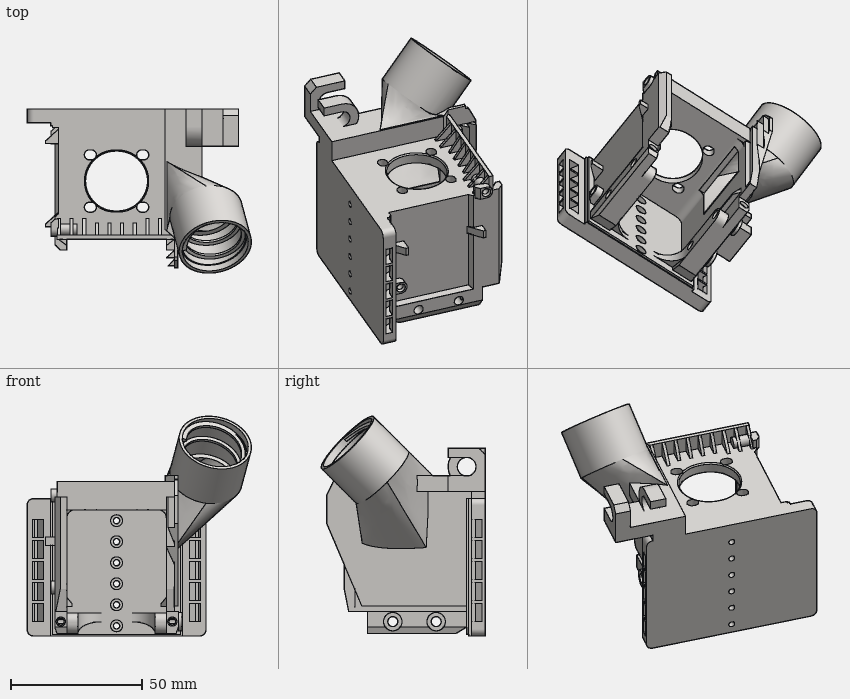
import cadquery as cq
import math


EAR_HALF_WIDTH = 34.05
DECK_TOP = 52.3
EAR_DEPTH = 5.25
EAR_CORNER_RADIUS = 2.5
PLATE_HALF_WIDTH = 25.1
PLATE_DEPTH = 6.4
LIP_INSET = 0.7
BACK_DEPTH = 7.1
SCREW_COUNT = 6
HOLE_PITCH = 8.0
FIRST_SCREW_Z = 3.9
SCREW_DIAMETER = 2.3
SCREW_HEAD_DIAMETER = 4.5
SCREW_HEAD_DEPTH = 2.0
TIE_SLOT_COUNT = 5
FIRST_TIE_SLOT_Z = 9.0
TIE_SLOT_HEIGHT = 6.85
TIE_SLOT_OUTLINE = [
    (EAR_HALF_WIDTH, 1.2), (30.1, 1.2), (27.8, EAR_DEPTH),
    (32.0, EAR_DEPTH), (31.2, 3.8), (EAR_HALF_WIDTH, 3.8),
]

WALL_INNER = 18.9
PANEL_OUTER = 22.0
WALL_OUTER = 23.5
WALL_BOTTOM = 9.3
WALL_FRONT = 53.7
WALL_FOOT_FRONT = 52.0
FOOT_TAPER_TOP = 17.9
LIP_TOP = 52.9
LIP_CHAMFER = 2.1
DOOR_GROOVE_OUTLINE = [(WALL_INNER, 49.0), (21.9, 49.6), (WALL_INNER, 52.0)]
DOOR_GROOVE_BOTTOM = 11.0
PANEL_FRONT = 39.7
PANEL_BOTTOM = 10.7
PANEL_BEVEL = WALL_OUTER - PANEL_OUTER
SKIRT_FRONT = 44.9
SKIRT_BOTTOM = 0.9
SKIRT_CHAMFER_TOP = 3.4
SKIRT_CHAMFER_WIDTH = 0.9
SKIRT_TOE_LENGTH = 1.0
REAR_SLOPE_END = 11.3
RAIL_INNER = 16.9
RAIL_OUTLINE = [(WALL_INNER, 11.3), (RAIL_INNER, 11.3), (RAIL_INNER, 12.3), (WALL_INNER, 14.7)]
RAIL_FRONT = 46.0
RAIL_TIP = 2.5

WALL_TOP = 61.0
TALL_WALL_INNER = 18.5
RIM_OUTER_FRONT = 49.0
RIM_INNER_FRONT = 45.8
FIN_OUTER = 23.3
FIN_BOTTOM = 11.5
FIN_OUTLINE = [
    (0, FIN_BOTTOM), (47.0, FIN_BOTTOM), (60.4, 42.9), (60.4, 53.5),
    (57.6, 59.3), (56.2, 59.8), (56.2, WALL_TOP), (0, WALL_TOP),
]
GILLS = [(WALL_INNER, 53.7, 56.6), (19.6, 57.1, 59.7)]

DECK_BOTTOM = 48.0
DECK_CORNER_RADIUS = 3.0
BAR_BACK = 48.0
BAR_FRONT = 49.6
BAR_TOP = 58.8
BAR_LEFT = -22.6
RIB_COUNT = 9
SHORT_RIB_REACH = 2
RIB_PITCH = 4.8
RIB_CENTRE_X = -0.27
RIB_WIDTH = 1.2
LONG_RIB_START = 41.6
SHORT_RIB_START = 43.4
FAN_DEPTH = 27.4
FAN_WIDTH = 23.5
FAN_HOLE_HEIGHT = 22.7
FAN_CHAMFER = 0.5
FAN_SCREW_OFFSET = 9.95
FAN_SCREW_WIDTH = 4.5
FAN_SCREW_HEIGHT = 3.7

PIVOT_DEPTHS = (18.7, 35.2)
PIVOT_Z = 5.5
PIVOT_DIAMETER = 3.7
PIVOT_BOSS_DIAMETER = 7.0
PIVOT_BOSS_OUTER = 24.8
END_HOLE_X = 21.2
END_HOLE_DEPTH = 8.0
ARM_INNER = 14.7
ARM_FRONT = 37.8
ARM_NOSE_RADIUS = 3.5
ARM_TOP = 8.8
ARM_BOTTOM = 0.9
ARM_ROOT_INNER = 6.0
ARM_ROOT_BOTTOM = 5.4
BOSS_OUTER = -25.0
BOSS_DIAMETER = 5.0
BOSS_HOLE_DIAMETER = 2.5
HOLE_MOUTH_DIAMETER = 3.5
HOLE_MOUTH_DEPTH = 1.0
UPPER_WEB_BACK = 41.9
WEB_BEVEL = 1.5
UPPER_BOSS_SITE = (45.9, 53.5)
LOWER_BOSS_SITE = (10.9, 18.5)
UPPER_PIN_END = -15.0
UPPER_PIN_DIAMETER = 4.5
WEDGE_TIP = -27.1
WEDGE_FRONTS = (13.2, 44.8)
WEDGE_Z = 36.1
WEDGE_HEIGHT = 3.2
WEDGE_LENGTH = 5.6
WEDGE_TIP_LENGTH = 1.0

HOOK_CENTRE_DEPTH = 7.1
HOOK_CENTRE_Z = 64.4
HOOK_RADIUS = 7.1
HOOK_HOLE_RADIUS = 3.5
REAR_HOOK_X = (26.4, 32.5)
FRONT_HOOK_X = (40.5, 46.4)
HOOK_BASE_BOTTOM = 55.0
HOOK_ARM_DEPTH = 26.0
HOOK_CHAMFER = 2.5

SOCKET_CENTRE = cq.Vector(37.56, -52.39, 73.59)
SOCKET_LEAN = math.tan(math.radians(15))
SOCKET_AXIS = cq.Vector(SOCKET_LEAN, -1, 1).normalized()
SOCKET_RADIUS = 14.0
SOCKET_LENGTH = 19.0
SOCKET_RIM_DIAMETER = 25.5
SOCKET_RIM_DEPTH = 3.0
SOCKET_GROOVE_DIAMETER = 24.6
SOCKET_UPWARD = cq.Vector(0, 1, 1).normalized()
SOCKET_OUTWARD = SOCKET_AXIS.cross(SOCKET_UPWARD) * -1
RIDGE_DIAMETER = 22.0
RIDGE_PITCH = 7.5
RIDGE_START = 1.0
RIDGE_LENGTH = 15.0
RIDGE_BASE_WIDTH = 1.8
RIDGE_CREST_WIDTH = 1.0
RIDGE_EMBED = 0.5
SHOULDER_DIAMETER = 20.7
DUCT_X = 19.2
DUCT_DEPTHS = (20.0, 46.0)
DUCT_HEIGHTS = (29.5, WALL_TOP)
DUCT_WALL = 1.5


def block(x_range, depth_range, z_range):
    """Box given by its X, depth and Z ranges."""
    x0, x1 = sorted(x_range)
    d0, d1 = depth_range
    z0, z1 = z_range
    return cq.Workplane().box(x1 - x0, d1 - d0, z1 - z0, centered=False).translate((x0, -d1, z0))


def side_prism(outline, x_range):
    """Prism along X with a (depth, Z) outline."""
    x0, x1 = sorted(x_range)
    points = [(-d, z) for d, z in outline]
    return cq.Workplane("YZ").workplane(offset=x0).polyline(points).close().extrude(x1 - x0)


def plan_prism(outline, z_range):
    """Prism along Z with an (X, depth) outline."""
    z0, z1 = z_range
    points = [(x, -d) for x, d in outline]
    return cq.Workplane("XY").workplane(offset=z0).polyline(points).close().extrude(z1 - z0)


def front_prism(outline, depth_range):
    """Prism along depth with an (X, Z) outline."""
    d0, d1 = depth_range
    return cq.Workplane("XZ").workplane(offset=d0).polyline(outline).close().extrude(d1 - d0)


def cross_pin(site, diameter, x_range):
    """Cylinder along X at a (depth, Z) site."""
    x0, x1 = sorted(x_range)
    depth, z = site
    return cq.Workplane("YZ").workplane(offset=x0).center(-depth, z).circle(diameter / 2).extrude(x1 - x0)


def mirrored(outline, side):
    """Outline with its first coordinate turned to the given side of X = 0."""
    return [(side * x, other) for x, other in outline]


def back_plate():
    ears = block((-EAR_HALF_WIDTH, EAR_HALF_WIDTH), (0, EAR_DEPTH), (0, DECK_TOP))
    ears = ears.edges("|Y").fillet(EAR_CORNER_RADIUS)
    plate = block((-PLATE_HALF_WIDTH, PLATE_HALF_WIDTH), (0, PLATE_DEPTH), (0, DECK_TOP))
    lip_half = PLATE_HALF_WIDTH - LIP_INSET
    lip = block((-lip_half, lip_half), (0, BACK_DEPTH), (LIP_INSET, DECK_TOP))
    body = ears.union(plate).union(lip)
    for side in (-1, 1):
        for i in range(TIE_SLOT_COUNT):
            z = FIRST_TIE_SLOT_Z + i * HOLE_PITCH
            z_range = (z - TIE_SLOT_HEIGHT / 2, z + TIE_SLOT_HEIGHT / 2)
            body = body.cut(plan_prism(mirrored(TIE_SLOT_OUTLINE, side), z_range))
    return body


def cut_screw_holes(body):
    for i in range(SCREW_COUNT):
        z = FIRST_SCREW_Z + i * HOLE_PITCH
        front = cq.Workplane("XZ").workplane(offset=BACK_DEPTH).center(0, z)
        body = body.cut(front.circle(SCREW_DIAMETER / 2).extrude(-BACK_DEPTH))
        body = body.cut(front.circle(SCREW_HEAD_DIAMETER / 2).extrude(-SCREW_HEAD_DEPTH))
    return body


def wall_lip(side, outer):
    """Wall with its front lip, tapered at the foot, and a V groove inside the lip."""
    outline = [
        (0, WALL_BOTTOM), (WALL_FOOT_FRONT, WALL_BOTTOM), (WALL_FRONT, FOOT_TAPER_TOP),
        (WALL_FRONT, LIP_TOP), (BAR_BACK, LIP_TOP), (BAR_BACK, DECK_TOP), (0, DECK_TOP),
    ]
    wall = side_prism(outline, (side * WALL_INNER, side * outer))
    groove = plan_prism(mirrored(DOOR_GROOVE_OUTLINE, side), (DOOR_GROOVE_BOTTOM, LIP_TOP))
    return wall.cut(groove)


def rear_relief(side):
    """Wedge removed from the bottom of a skirt and its arm where they meet the back plate."""
    slope = [
        (BACK_DEPTH, SKIRT_BOTTOM), (BACK_DEPTH, SKIRT_CHAMFER_TOP), (REAR_SLOPE_END, SKIRT_BOTTOM),
    ]
    return side_prism(slope, (side * ARM_INNER, side * WALL_OUTER))


def skirt(side):
    """Lower edge of a wall: bevelled outer bottom edge, sloped rear end, and a cut toe on the left."""
    outline = [
        (WALL_INNER, WALL_BOTTOM), (WALL_OUTER, WALL_BOTTOM), (WALL_OUTER, SKIRT_CHAMFER_TOP),
        (WALL_OUTER - SKIRT_CHAMFER_WIDTH, SKIRT_BOTTOM), (WALL_INNER, SKIRT_BOTTOM),
    ]
    strip = front_prism(mirrored(outline, side), (0, SKIRT_FRONT))
    strip = strip.cut(rear_relief(side))
    if side < 0:
        toe = [
            (SKIRT_FRONT, SKIRT_CHAMFER_TOP), (SKIRT_FRONT, SKIRT_BOTTOM),
            (SKIRT_FRONT - SKIRT_TOE_LENGTH, SKIRT_BOTTOM),
        ]
        strip = strip.cut(side_prism(toe, (-WALL_INNER, -WALL_OUTER)))
    return strip


def rail(side):
    """Sloped guide rail along the inside of a wall, pointed at its front end."""
    bar = front_prism(mirrored(RAIL_OUTLINE, side), (0, RAIL_FRONT))
    tip = [(WALL_INNER, RAIL_FRONT), (RAIL_INNER, RAIL_FRONT), (RAIL_INNER, RAIL_FRONT - RAIL_TIP)]
    return bar.cut(plan_prism(mirrored(tip, side), (WALL_BOTTOM, FOOT_TAPER_TOP)))


def left_wall():
    wall = wall_lip(-1, WALL_OUTER)
    corner = [
        (-WALL_OUTER, WALL_FRONT), (-WALL_OUTER, WALL_FRONT - LIP_CHAMFER),
        (-WALL_OUTER + LIP_CHAMFER, WALL_FRONT),
    ]
    wall = wall.cut(plan_prism(corner, (WALL_BOTTOM, LIP_TOP)))
    bottom_bevel = [
        (-PANEL_OUTER, PANEL_BOTTOM), (-WALL_OUTER, PANEL_BOTTOM - PANEL_BEVEL),
        (-WALL_OUTER, DECK_TOP), (-PANEL_OUTER, DECK_TOP),
    ]
    front_bevel = [
        (-PANEL_OUTER, BACK_DEPTH), (-WALL_OUTER, BACK_DEPTH),
        (-WALL_OUTER, PANEL_FRONT + PANEL_BEVEL), (-PANEL_OUTER, PANEL_FRONT),
    ]
    recess = front_prism(bottom_bevel, (BACK_DEPTH, PANEL_FRONT + PANEL_BEVEL))
    recess = recess.intersect(plan_prism(front_bevel, (WALL_BOTTOM - PANEL_BEVEL, DECK_TOP)))
    return wall.cut(recess)


def right_wall():
    """Right wall with the tall rim beside the deck, the outer fin and its gills."""
    wall = wall_lip(1, PANEL_OUTER)
    rim = [
        (TALL_WALL_INNER, 0), (PANEL_OUTER, 0),
        (PANEL_OUTER, RIM_OUTER_FRONT), (TALL_WALL_INNER, RIM_INNER_FRONT),
    ]
    wall = wall.union(plan_prism(rim, (DECK_BOTTOM, WALL_TOP)))
    wall = wall.union(side_prism(FIN_OUTLINE, (PANEL_OUTER, FIN_OUTER)))
    gill_limit = side_prism(FIN_OUTLINE, (WALL_INNER, FIN_OUTER))
    for tip_x, back, front in GILLS:
        triangle = [(PANEL_OUTER, back), (PANEL_OUTER, front), (tip_x, front)]
        gill = plan_prism(triangle, (WALL_BOTTOM, LIP_TOP))
        wall = wall.union(gill.intersect(gill_limit))
    return wall


def deck():
    body = block((-PANEL_OUTER, PANEL_OUTER), (0, BAR_FRONT), (DECK_BOTTOM, DECK_TOP))
    for side in (-1, 1):
        corner = [
            (side * WALL_INNER, DECK_BOTTOM), (side * (WALL_INNER - DECK_CORNER_RADIUS), DECK_BOTTOM),
        ]
        centre = (side * (WALL_INNER - DECK_CORNER_RADIUS), DECK_BOTTOM - DECK_CORNER_RADIUS)
        bend = DECK_CORNER_RADIUS * math.sqrt(0.5)
        cove = (
            cq.Workplane("XZ").moveTo(*corner[0]).lineTo(*corner[1])
            .threePointArc(
                (centre[0] + side * bend, centre[1] + bend), (side * WALL_INNER, centre[1])
            ).close().extrude(BAR_BACK)
        )
        body = body.union(cove)
    return body


def fan_openings(body):
    """Fan hole with a bevelled rim and four screw slots, all slightly wider along X."""
    top = cq.Workplane("XY").workplane(offset=DECK_TOP)
    thickness = DECK_TOP - DECK_BOTTOM
    fan = top.center(0, -FAN_DEPTH)
    body = body.cut(fan.slot2D(FAN_WIDTH, FAN_HOLE_HEIGHT).extrude(-thickness))
    rim = fan.slot2D(FAN_WIDTH + 2 * FAN_CHAMFER, FAN_HOLE_HEIGHT + 2 * FAN_CHAMFER)
    body = body.cut(rim.extrude(-FAN_CHAMFER, taper=45))
    spacing = 2 * FAN_SCREW_OFFSET
    slots = fan.rect(spacing, spacing, forConstruction=True).vertices()
    return body.cut(slots.slot2D(FAN_SCREW_WIDTH, FAN_SCREW_HEIGHT).extrude(-thickness))


def crossbar():
    bar = block((BAR_LEFT, PANEL_OUTER), (BAR_BACK, BAR_FRONT), (DECK_BOTTOM, BAR_TOP))
    for i in range(RIB_COUNT):
        step = i - RIB_COUNT / 2
        x = RIB_CENTRE_X + step * RIB_PITCH
        start = SHORT_RIB_START if abs(step) < SHORT_RIB_REACH else LONG_RIB_START
        rib = [(start, DECK_TOP), (BAR_BACK, DECK_TOP), (BAR_BACK, BAR_TOP)]
        bar = bar.union(side_prism(rib, (x - RIB_WIDTH / 2, x + RIB_WIDTH / 2)))
    return bar


def pivot_arm(side):
    """Pivot arm along the inside of a wall, with a round nose and a flared root on the back plate."""
    arm = block((side * ARM_INNER, side * WALL_INNER), (0, ARM_FRONT), (ARM_BOTTOM, ARM_TOP))
    arm = arm.faces("<Y").edges("|X").fillet(ARM_NOSE_RADIUS)
    arm = arm.cut(rear_relief(side))
    radius = ARM_INNER - ARM_ROOT_INNER
    bend = radius * (1 - math.sqrt(0.5))
    root_front = BACK_DEPTH + radius
    root = (
        cq.Workplane("XY").workplane(offset=ARM_BOTTOM)
        .moveTo(side * ARM_ROOT_INNER, -BACK_DEPTH)
        .threePointArc(
            (side * (ARM_INNER - bend), -BACK_DEPTH - bend), (side * ARM_INNER, -root_front)
        )
        .lineTo(side * ARM_INNER, -BACK_DEPTH).close().extrude(ARM_TOP - ARM_BOTTOM)
    )
    slope = [(BACK_DEPTH, ARM_BOTTOM), (BACK_DEPTH, ARM_ROOT_BOTTOM), (root_front, ARM_BOTTOM)]
    root = root.cut(side_prism(slope, (0, side * ARM_INNER)))
    return arm.union(root)


def hole_mouth(centre, inward):
    """Cone that widens the mouth of a screw hole."""
    cone = cq.Solid.makeCone(
        HOLE_MOUTH_DIAMETER / 2, BOSS_HOLE_DIAMETER / 2, HOLE_MOUTH_DEPTH, centre, inward
    )
    return cq.Workplane(cone)


def cut_pivot_holes(body):
    for depth in PIVOT_DEPTHS:
        site = (depth, PIVOT_Z)
        body = body.union(cross_pin(site, PIVOT_BOSS_DIAMETER, (WALL_OUTER, PIVOT_BOSS_OUTER)))
        body = body.cut(cross_pin(site, PIVOT_DIAMETER, (-PLATE_HALF_WIDTH, PLATE_HALF_WIDTH)))
    for side in (-1, 1):
        front = cq.Workplane("XZ").workplane(offset=SKIRT_FRONT).center(side * END_HOLE_X, PIVOT_Z)
        body = body.cut(front.circle(BOSS_HOLE_DIAMETER / 2).extrude(-END_HOLE_DEPTH))
        mouth = cq.Vector(side * END_HOLE_X, -SKIRT_FRONT, PIVOT_Z)
        body = body.cut(hole_mouth(mouth, cq.Vector(0, 1, 0)))
    return body


def left_bosses(body):
    """Two screw bosses on the left wall; the upper one runs on as a pin above the deck."""
    for site, web_back in ((UPPER_BOSS_SITE, UPPER_WEB_BACK), (LOWER_BOSS_SITE, BACK_DEPTH)):
        depth, z = site
        x_range = (BOSS_OUTER, -PANEL_OUTER)
        body = body.union(cross_pin(site, BOSS_DIAMETER, x_range))
        web = [
            (-PANEL_OUTER, web_back), (-PANEL_OUTER, depth), (BOSS_OUTER, depth),
            (BOSS_OUTER, web_back + WEB_BEVEL), (-PANEL_OUTER - WEB_BEVEL, web_back),
        ]
        body = body.union(plan_prism(web, (z - BOSS_DIAMETER / 2, z + BOSS_DIAMETER / 2)))
    body = body.union(cross_pin(UPPER_BOSS_SITE, UPPER_PIN_DIAMETER, (-PANEL_OUTER, UPPER_PIN_END)))
    for site in (UPPER_BOSS_SITE, LOWER_BOSS_SITE):
        depth, z = site
        body = body.cut(cross_pin(site, BOSS_HOLE_DIAMETER, (BOSS_OUTER, -WALL_INNER)))
        body = body.cut(hole_mouth(cq.Vector(BOSS_OUTER, -depth, z), cq.Vector(1, 0, 0)))
    return body


def latch_wedges():
    wedges = []
    for front in WEDGE_FRONTS:
        outline = [
            (-PANEL_OUTER, front), (WEDGE_TIP, front), (WEDGE_TIP, front - WEDGE_TIP_LENGTH),
            (-PANEL_OUTER, front - WEDGE_LENGTH),
        ]
        wedges.append(plan_prism(outline, (WEDGE_Z - WEDGE_HEIGHT / 2, WEDGE_Z + WEDGE_HEIGHT / 2)))
    return wedges


def cable_hooks():
    """Base beside the tall wall carrying one hook open to the rear and one open to the front."""
    hook_front = HOOK_CENTRE_DEPTH + HOOK_RADIUS
    hook_top = HOOK_CENTRE_Z + HOOK_RADIUS
    hole_top = HOOK_CENTRE_Z + HOOK_HOLE_RADIUS
    site = (HOOK_CENTRE_DEPTH, HOOK_CENTRE_Z)
    base_z = (HOOK_BASE_BOTTOM, WALL_TOP)
    base = block((PANEL_OUTER, FRONT_HOOK_X[1]), (0, hook_front), base_z)
    base = base.union(block((PANEL_OUTER, REAR_HOOK_X[1]), (0, HOOK_ARM_DEPTH), base_z))
    ear_link_x = (PANEL_OUTER, EAR_HALF_WIDTH - EAR_CORNER_RADIUS)
    base = base.union(block(ear_link_x, (0, EAR_DEPTH), (DECK_BOTTOM, WALL_TOP)))

    rear_hook = cross_pin(site, 2 * HOOK_RADIUS, REAR_HOOK_X)
    rear_half = block(REAR_HOOK_X, (0, HOOK_CENTRE_DEPTH), (HOOK_CENTRE_Z - HOOK_RADIUS, hook_top))
    rear_hook = rear_hook.cut(rear_half)
    rear_hook = rear_hook.union(block(REAR_HOOK_X, (0, HOOK_CENTRE_DEPTH), (hole_top, hook_top)))

    front_hook = block(FRONT_HOOK_X, (0, hook_front), (WALL_TOP, hook_top))
    front_hook = front_hook.edges(">Y and >Z").chamfer(HOOK_CHAMFER)
    front_hook = front_hook.cut(block(FRONT_HOOK_X, (HOOK_CENTRE_DEPTH, hook_front), (WALL_TOP, hole_top)))

    cable_hole = cross_pin(site, 2 * HOOK_HOLE_RADIUS, (REAR_HOOK_X[0], FRONT_HOOK_X[1]))
    return base.union(rear_hook.cut(cable_hole)).union(front_hook.cut(cable_hole))


def socket_cylinder(diameter, start, length):
    """Cylinder on the socket axis, starting at a distance below the rim."""
    return cq.Workplane(
        cq.Solid.makeCylinder(diameter / 2, length, SOCKET_CENTRE - SOCKET_AXIS * start, SOCKET_AXIS * -1)
    )


def duct_loft(inset, radius):
    """Ruled transition from a rectangle on the right wall to the lower end of the socket."""
    rear, front = DUCT_DEPTHS[0] + inset, DUCT_DEPTHS[1] - inset
    low, high = DUCT_HEIGHTS[0] + inset, DUCT_HEIGHTS[1] - inset
    corners = [
        cq.Vector(DUCT_X, -d, z) for d, z in ((rear, high), (rear, low), (front, low), (front, high))
    ]
    rectangle = cq.Wire.makePolygon(corners, close=True)
    centre = SOCKET_CENTRE - SOCKET_AXIS * SOCKET_LENGTH

    def rim_point(degrees):
        angle = math.radians(degrees)
        return centre + (SOCKET_UPWARD * math.cos(angle) + SOCKET_OUTWARD * math.sin(angle)) * radius

    arcs = [
        cq.Edge.makeThreePointArc(rim_point(a), rim_point(a + 45), rim_point(a + 90))
        for a in (0, 90, 180, 270)
    ]
    circle = cq.Wire.assembleEdges(arcs)
    return cq.Workplane(cq.Solid.makeLoft([rectangle, circle], True))


def hose_thread():
    """Right-handed helical ridge inside the socket, starting on the side nearest the deck."""
    bore_radius = SOCKET_GROOVE_DIAMETER / 2
    root_radius = bore_radius + RIDGE_EMBED
    crest_radius = RIDGE_DIAMETER / 2
    helix = cq.Wire.makeHelix(RIDGE_PITCH, RIDGE_LENGTH, bore_radius)
    section = [
        (root_radius, -RIDGE_BASE_WIDTH / 2), (crest_radius, -RIDGE_CREST_WIDTH / 2),
        (crest_radius, RIDGE_CREST_WIDTH / 2), (root_radius, RIDGE_BASE_WIDTH / 2),
    ]
    ridge = cq.Workplane("XZ").polyline(section).close().sweep(cq.Workplane(helix), isFrenet=True)
    start = SOCKET_CENTRE - SOCKET_AXIS * RIDGE_START
    frame = cq.Plane(start, SOCKET_OUTWARD * -1, SOCKET_AXIS * -1)
    return cq.Workplane(ridge.val().moved(frame.location))


def hose_bore():
    bore = socket_cylinder(SOCKET_GROOVE_DIAMETER, 0, SOCKET_LENGTH)
    return bore.union(socket_cylinder(SOCKET_RIM_DIAMETER, 0, SOCKET_RIM_DEPTH))


def add_hose_duct(body):
    body = body.union(socket_cylinder(2 * SOCKET_RADIUS, 0, SOCKET_LENGTH))
    body = body.union(duct_loft(0, SOCKET_RADIUS))
    body = body.cut(hose_bore())
    body = body.cut(duct_loft(DUCT_WALL, SHOULDER_DIAMETER / 2))

    opening_depths = (DUCT_DEPTHS[0] + DUCT_WALL, DUCT_DEPTHS[1] - DUCT_WALL)
    opening_heights = (DUCT_HEIGHTS[0] + DUCT_WALL, DECK_BOTTOM)
    body = body.cut(block((RAIL_INNER, DUCT_X), opening_depths, opening_heights))
    return body.union(hose_thread())


body = back_plate().union(left_wall()).union(right_wall())
for wall_side in (-1, 1):
    body = body.union(skirt(wall_side)).union(rail(wall_side)).union(pivot_arm(wall_side))
body = fan_openings(body.union(deck()).union(crossbar()))
body = left_bosses(body)
for wedge in latch_wedges():
    body = body.union(wedge)
body = body.union(cable_hooks())
body = add_hose_duct(body)
result = cut_screw_holes(cut_pivot_holes(body))